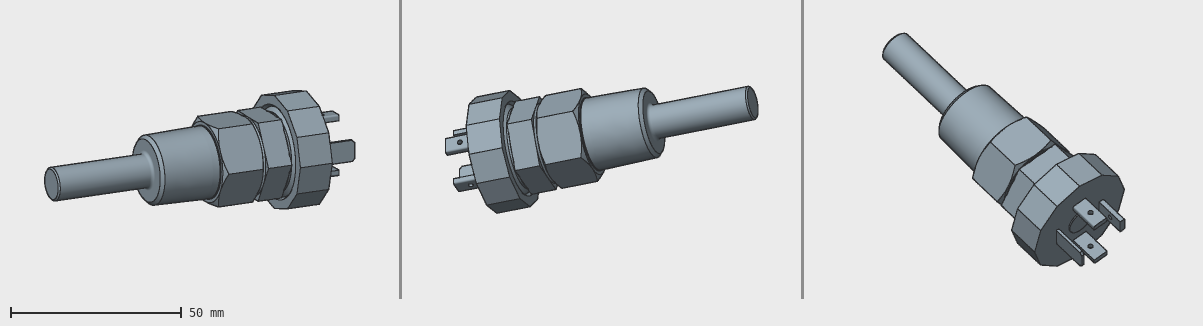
import cadquery as cq
import math


barrel_start = 30.9
hex_nut_start = 50.0
hex_nut_end = 63.2
collar_hex_start = 64.0
collar_hex_end = 71.6
head_start = 72.7
head_end = 83.1
tab_end = 92.5
blade_end = 94.5

stem_radius = 5.0
stem_tip_chamfer = 0.5
stem_root_fillet = 0.9

barrel_radius = 10.8
barrel_plain_length = 2.55
barrel_collar_radius = 11.0
barrel_collar_length = 0.3
barrel_small_radius = 10.4
barrel_chamfer = 1.0

hex_across_flats = 24.0
hex_inradius = hex_across_flats / 2
hex_corner_diameter = hex_across_flats / math.cos(math.pi / 6)
hex_chamfer_angle = math.radians(30)

head_corner_diameter = 34.7
recess_outer_radius = 14.2
recess_bottom_radius = 13.4
recess_depth = 0.9
neck_base_radius = 12.3
neck_waist_radius = 12.1
neck_length = 0.8

tab_width = 5.0
tab_thickness = 1.8
tab_outer_face = 9.4
tab_edge_fillet = 0.6
tab_hole_diameter = 1.4
tab_hole_from_end = 4.5
blade_width = 6.5
blade_thickness = 0.9
blade_offset = 8.5
blade_corner_chamfer = 0.85
boss_radius = 4.2
boss_height = 0.5


def prism(sides, corner_diameter, start, end):
    """Regular prism along Y with a corner on the X axis."""
    return (
        cq.Workplane("XZ", origin=(0, start, 0))
        .polygon(sides, corner_diameter)
        .extrude(start - end)
    )


def turned(profile):
    """Revolve a closed (radius, station) profile around the Y axis."""
    return cq.Workplane("XY").polyline(profile).close().revolve(360, (0, 0, 0), (0, 1, 0))


def make_stem_and_barrel():
    taper_start = barrel_start + barrel_chamfer
    taper_end = hex_nut_start - barrel_plain_length
    collar_start = hex_nut_start - barrel_collar_length
    root_shift = stem_root_fillet * (1 - math.sqrt(0.5))
    profile = (
        cq.Workplane("XY")
        .moveTo(0, 0)
        .lineTo(stem_radius - stem_tip_chamfer, 0)
        .lineTo(stem_radius, stem_tip_chamfer)
        .lineTo(stem_radius, barrel_start - stem_root_fillet)
        .threePointArc(
            (stem_radius + root_shift, barrel_start - root_shift),
            (stem_radius + stem_root_fillet, barrel_start),
        )
        .lineTo(barrel_small_radius - barrel_chamfer, barrel_start)
        .lineTo(barrel_small_radius, taper_start)
        .lineTo(barrel_radius, taper_end)
        .lineTo(barrel_radius, collar_start)
        .lineTo(barrel_collar_radius, collar_start)
        .lineTo(barrel_collar_radius, hex_nut_start)
        .lineTo(0, hex_nut_start)
        .close()
    )
    return profile.revolve(360, (0, 0, 0), (0, 1, 0))


def make_hex_nut():
    """Hexagon with both ends turned to a cone that starts at the flats."""
    corner_radius = hex_corner_diameter / 2
    chamfer_length = (corner_radius - hex_inradius) * math.tan(hex_chamfer_angle)
    envelope = turned([
        (0, hex_nut_start),
        (hex_inradius, hex_nut_start),
        (corner_radius, hex_nut_start + chamfer_length),
        (corner_radius, hex_nut_end - chamfer_length),
        (hex_inradius, hex_nut_end),
        (0, hex_nut_end),
    ])
    return prism(6, hex_corner_diameter, hex_nut_start, hex_nut_end).intersect(envelope)


def make_groove():
    """45-degree cone between the two hexagons."""
    groove_length = collar_hex_start - hex_nut_end
    return turned([
        (0, hex_nut_end),
        (hex_inradius - groove_length, hex_nut_end),
        (hex_inradius, collar_hex_start),
        (0, collar_hex_start),
    ])


def make_head():
    """Twelve-sided head whose front face has a ring groove around the neck."""
    recess_bottom = head_start + recess_depth
    neck_end = collar_hex_end + neck_length
    recess = turned([
        (0, head_start),
        (recess_outer_radius, head_start),
        (recess_bottom_radius, recess_bottom),
        (0, recess_bottom),
    ])
    neck = turned([
        (0, collar_hex_end),
        (neck_base_radius, collar_hex_end),
        (neck_waist_radius, neck_end),
        (recess_bottom_radius, recess_bottom),
        (0, recess_bottom),
    ])
    return prism(12, head_corner_diameter, head_start, head_end).cut(recess).union(neck)


def make_tab(angle):
    """Pierced contact tab with rounded outer edges, turned from +Z around the Y axis."""
    length = tab_end - head_end
    tab = (
        cq.Workplane("XY", origin=(0, head_end + length / 2, tab_outer_face - tab_thickness))
        .box(tab_width, length, tab_thickness, centered=(True, True, False))
        .edges("|Y and >Z")
        .fillet(tab_edge_fillet)
    )
    hole = (
        cq.Workplane("XY", origin=(0, tab_end - tab_hole_from_end, 0))
        .circle(tab_hole_diameter / 2)
        .extrude(tab_outer_face)
    )
    return tab.cut(hole).rotate((0, 0, 0), (0, 1, 0), angle)


def make_blade():
    """Flat earth blade on the +X side with chamfered tip corners."""
    length = blade_end - head_end
    return (
        cq.Workplane("XY", origin=(blade_offset, head_end + length / 2, 0))
        .box(blade_thickness, length, blade_width)
        .edges("|X and >Y")
        .chamfer(blade_corner_chamfer)
    )


result = make_stem_and_barrel()
result = result.union(make_hex_nut())
result = result.union(make_groove())
result = result.union(prism(6, hex_corner_diameter, collar_hex_start, collar_hex_end))
result = result.union(make_head())

boss = cq.Workplane("XZ", origin=(0, head_end, 0)).circle(boss_radius).extrude(-boss_height)
result = result.union(boss)

for tab_angle in (0, 180, 270):
    result = result.union(make_tab(tab_angle))
result = result.union(make_blade())